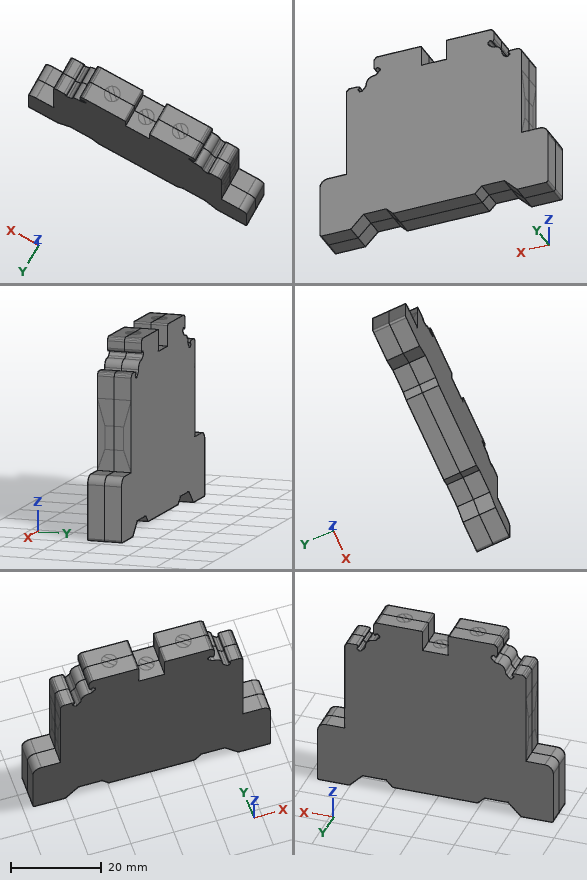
import cadquery as cq
import math

WIDTH = 55.5
HEIGHT = 43.8
THICKNESS = 8.0
HALF_WIDTH = WIDTH / 2
HALF_THICKNESS = THICKNESS / 2

EAR_TOP_Z = 14.75
EAR_RADIUS = 2.0
FOOT_RADIUS = 0.5
WALL_X = 21.3
SHOULDER_Z = 37.15
TOWER_X = 14.6
CORNER_CHAMFER = 0.65
CHAMFER_RADIUS = 0.6

NOTCH_HALF_WIDTH = 3.0
NOTCH_FLOOR_Z = HEIGHT - 5.0
NOTCH_LIP_RADIUS = 0.35

FOOT_INNER_X = 20.2
RAIL_ROOF_Z = 3.1
RAIL_PAD_Z = 1.5
RAIL_PAD_X = 10.0

GROOVE_SUM = SHOULDER_Z - TOWER_X
GROOVE_X = -16.1
GROOVE_Z = GROOVE_SUM - GROOVE_X
GROOVE_DEPTH = 1.05
GROOVE_HALF_LENGTH = 3.4
HOOK_TIP = 2.65
HOOK_RADIUS = 0.8
GROOVE_OUTER_RADIUS = 0.15
GROOVE_INNER_RADIUS = 0.35
BUMP_RADIUS = 1.9
BUMP_RISE = 0.85
BUMP_FOOT_RADIUS = 1.15

SCREW_DIAMETER = 3.5
SCREW_SPACING = 8.65
SCREW_SLOT_WIDTH = 1.05
SCREW_SLOT_ANGLE = -45

ENTRY_TOP_Z = 31.15
ENTRY_WINDOW_TOP_Z = 25.05
ENTRY_WINDOW_BOTTOM_Z = 19.65
ENTRY_WINDOW_HALF_WIDTH = 2.2


def groove_point(along, depth):
    """(x, z) of a point in the -X groove: along it toward the tower, and depth into the body."""
    return (
        GROOVE_X + (along + depth) / math.sqrt(2),
        GROOVE_Z + (along - depth) / math.sqrt(2),
    )


def round_corners(body, corners, radius):
    """Fillet the edges that run along Y through the given (x, z) corners."""
    reach = 0.005
    for x, z in corners:
        box = cq.selectors.BoxSelector(
            (x - reach, -THICKNESS, z - reach), (x + reach, THICKNESS, z + reach)
        )
        body = body.edges("|Y").edges(box).fillet(radius)
    return body


def left_quarter():
    """The -X, -Y quarter of the block, from the middle plane of each axis outward."""
    hook_run = math.sqrt(2) * HOOK_TIP
    groove_front = GROOVE_SUM + hook_run
    groove_back = GROOVE_SUM - hook_run
    tower_hook = (-TOWER_X, groove_front + TOWER_X)
    shoulder_hook = (groove_back - SHOULDER_Z, SHOULDER_Z)

    bump_half_width = math.sqrt(BUMP_RADIUS**2 - (BUMP_RADIUS - BUMP_RISE) ** 2)
    bump_start = groove_point(-bump_half_width, GROOVE_DEPTH)
    bump_top = groove_point(0, GROOVE_DEPTH - BUMP_RISE)
    bump_end = groove_point(bump_half_width, GROOVE_DEPTH)

    groove_outer = [groove_point(side * GROOVE_HALF_LENGTH, 0) for side in (-1, 1)]
    groove_inner = [groove_point(side * GROOVE_HALF_LENGTH, GROOVE_DEPTH) for side in (-1, 1)]

    foot = (-HALF_WIDTH, 0)
    ear = (-HALF_WIDTH, EAR_TOP_Z)
    notch_lip = (-NOTCH_HALF_WIDTH, HEIGHT)
    chamfer_ends = [
        (-WALL_X, SHOULDER_Z - CORNER_CHAMFER),
        (-WALL_X + CORNER_CHAMFER, SHOULDER_Z),
        (-TOWER_X, HEIGHT - CORNER_CHAMFER),
        (-TOWER_X + CORNER_CHAMFER, HEIGHT),
    ]

    outline = (
        cq.Workplane("XZ")
        .moveTo(0, RAIL_PAD_Z)
        .lineTo(-RAIL_PAD_X, RAIL_PAD_Z)
        .lineTo(-RAIL_PAD_X - (RAIL_ROOF_Z - RAIL_PAD_Z), RAIL_ROOF_Z)
        .lineTo(-FOOT_INNER_X + RAIL_ROOF_Z, RAIL_ROOF_Z)
        .lineTo(-FOOT_INNER_X, 0)
        .lineTo(*foot)
        .lineTo(*ear)
        .lineTo(-WALL_X, EAR_TOP_Z)
        .lineTo(*chamfer_ends[0])
        .lineTo(*chamfer_ends[1])
        .lineTo(*shoulder_hook)
        .lineTo(*groove_point(-HOOK_TIP, 0))
        .lineTo(*groove_outer[0])
        .lineTo(*groove_inner[0])
        .lineTo(*bump_start)
        .threePointArc(bump_top, bump_end)
        .lineTo(*groove_inner[1])
        .lineTo(*groove_outer[1])
        .lineTo(*groove_point(HOOK_TIP, 0))
        .lineTo(*tower_hook)
        .lineTo(*chamfer_ends[2])
        .lineTo(*chamfer_ends[3])
        .lineTo(*notch_lip)
        .lineTo(-NOTCH_HALF_WIDTH, NOTCH_FLOOR_Z)
        .lineTo(0, NOTCH_FLOOR_Z)
        .close()
    )
    quarter = outline.extrude(HALF_THICKNESS)
    quarter = round_corners(quarter, [foot], FOOT_RADIUS)
    quarter = round_corners(quarter, [ear], EAR_RADIUS)
    quarter = round_corners(quarter, chamfer_ends, CHAMFER_RADIUS)
    quarter = round_corners(quarter, [shoulder_hook, tower_hook], HOOK_RADIUS)
    quarter = round_corners(quarter, groove_outer, GROOVE_OUTER_RADIUS)
    quarter = round_corners(quarter, groove_inner, GROOVE_INNER_RADIUS)
    quarter = round_corners(quarter, [bump_start, bump_end], BUMP_FOOT_RADIUS)
    quarter = round_corners(quarter, [notch_lip], NOTCH_LIP_RADIUS)
    return quarter


def screw_faces():
    """Flush screw heads on the towers and the notch floor, each a disc crossed by a slot."""
    faces = []
    for column, z in ((-1, HEIGHT), (0, NOTCH_FLOOR_Z), (1, HEIGHT)):
        plane = cq.Workplane("XY", origin=(column * SCREW_SPACING, 0, z))
        disc = cq.Face.makeFromWires(plane.circle(SCREW_DIAMETER / 2).wire().val())
        slot_plane = plane.transformed(rotate=(0, 0, SCREW_SLOT_ANGLE))
        slot = cq.Face.makeFromWires(slot_plane.rect(SCREW_DIAMETER, SCREW_SLOT_WIDTH).wire().val())
        faces += [disc, slot.intersect(disc)]
    return faces


def entry_faces():
    """Flush wire entry facets on both walls: a window with a funnel outline above and below it."""
    window = ENTRY_WINDOW_HALF_WIDTH
    funnel_ends = (
        (ENTRY_TOP_Z, ENTRY_WINDOW_TOP_Z),
        (EAR_TOP_Z, ENTRY_WINDOW_BOTTOM_Z),
    )
    faces = []
    for x in (-WALL_X, WALL_X):
        plane = cq.Workplane("YZ", origin=(x, 0, 0))
        for outer_z, inner_z in funnel_ends:
            funnel = plane.polyline(
                [
                    (-HALF_THICKNESS, outer_z),
                    (HALF_THICKNESS, outer_z),
                    (window, inner_z),
                    (-window, inner_z),
                ]
            ).close()
            faces.append(cq.Face.makeFromWires(funnel.wire().val()))
        opening = plane.polyline(
            [
                (-window, ENTRY_WINDOW_BOTTOM_Z),
                (window, ENTRY_WINDOW_BOTTOM_Z),
                (window, ENTRY_WINDOW_TOP_Z),
                (-window, ENTRY_WINDOW_TOP_Z),
            ]
        ).close()
        faces.append(cq.Face.makeFromWires(opening.wire().val()))
    return faces


def marked_half(half):
    """One housing half with the flush screw and wire entry outlines split into its faces."""
    marked = half.val().split(*screw_faces(), *entry_faces())
    return cq.Workplane(marked).solids()


left = left_quarter()
plain_half = left.union(left.mirror("YZ"))
front_half = marked_half(plain_half)
rear_half = marked_half(plain_half.mirror("XZ"))

result = cq.Compound.makeCompound([front_half.val(), rear_half.val()])